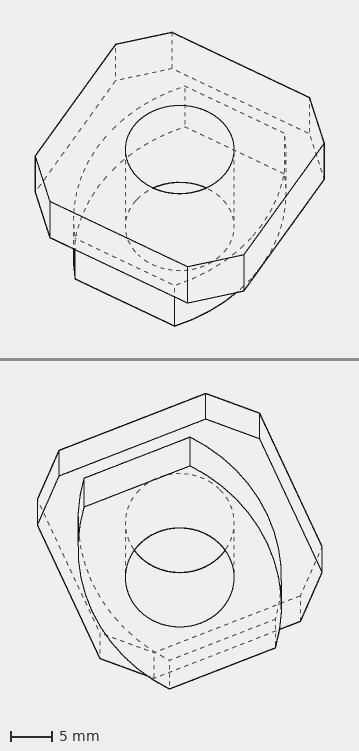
import cadquery as cq

plate_side = 29.2
plate_thickness = 7.5
corner_cut = 4.95

total_height = 15.9
boss_height = total_height - plate_thickness
boss_width = 23.0
boss_depth = 26.28
flat_length = 13.93

bore_diameter = 13.15


def make_plate():
    """Plate with its underside at Z = 0."""
    plate = cq.Workplane("XY").rect(plate_side, plate_side).extrude(plate_thickness)
    return plate.edges("|Z").chamfer(corner_cut)


def make_boss():
    """Boss hanging down from Z = 0."""
    half_flat = flat_length / 2
    half_depth = boss_depth / 2
    half_width = boss_width / 2
    return (
        cq.Workplane("XY")
        .moveTo(-half_flat, -half_depth)
        .lineTo(half_flat, -half_depth)
        .threePointArc((half_width, 0), (half_flat, half_depth))
        .lineTo(-half_flat, half_depth)
        .threePointArc((-half_width, 0), (-half_flat, -half_depth))
        .close()
        .extrude(-boss_height)
    )


result = make_plate().union(make_boss()).faces(">Z").workplane().hole(bore_diameter)